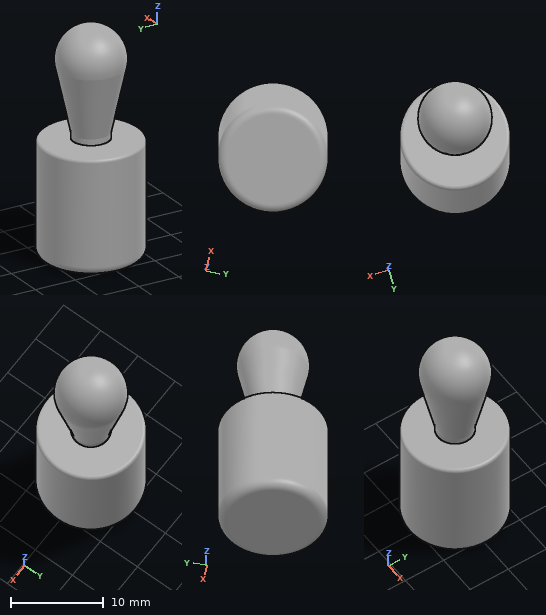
import cadquery as cq
import math

total_height = 27.0
body_diameter = 12.0
body_height = 13.72
top_edge_radius = 0.43
bottom_edge_radius = 1.0

neck_diameter = 4.4
neck_height = 0.73
ball_diameter = 8.0

body_radius = body_diameter / 2
neck_radius = neck_diameter / 2
ball_radius = ball_diameter / 2
neck_top = body_height + neck_height
ball_center = total_height - ball_radius

center_rise = ball_center - neck_top
center_distance = math.hypot(neck_radius, center_rise)
flare_angle = math.asin(ball_radius / center_distance) - math.atan2(neck_radius, center_rise)
tangent_radius = ball_radius * math.cos(flare_angle)
tangent_height = ball_center - ball_radius * math.sin(flare_angle)


def make_body():
    """Cylinder with rounded top and bottom edges."""
    body = cq.Workplane("XY").circle(body_radius).extrude(body_height)
    body = body.faces(">Z").edges().fillet(top_edge_radius)
    return body.faces("<Z").edges().fillet(bottom_edge_radius)


def make_pin():
    """Revolve the half outline of the neck, cone and ball about Z."""
    arc_middle_angle = (math.pi / 2 - flare_angle) / 2
    arc_middle = (
        ball_radius * math.cos(arc_middle_angle),
        ball_center + ball_radius * math.sin(arc_middle_angle),
    )
    pin_base = body_height / 2
    outline = (
        cq.Workplane("XZ")
        .moveTo(0, pin_base)
        .lineTo(neck_radius, pin_base)
        .lineTo(neck_radius, neck_top)
        .lineTo(tangent_radius, tangent_height)
        .threePointArc(arc_middle, (0, total_height))
        .close()
    )
    return outline.revolve(360, (0, 0), (0, 1))


result = make_body().union(make_pin())